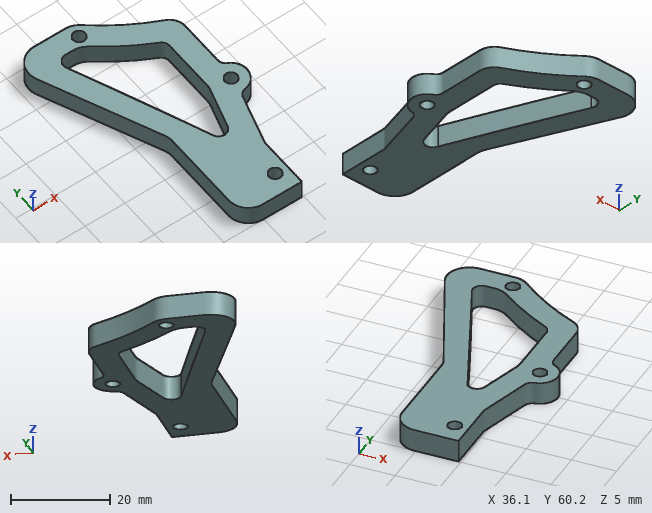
import cadquery as cq

THICKNESS = 5.0
HEIGHT = 60.15
LEG_WIDTH = 14.75
LEG_OUTER_TOP = 25.1
LEG_INNER_TOP = 12.45
TOP_CORNER_X = -15.6
RIGHT_SIDE_X = 19.8

LARGE_RADIUS = 5.0
MEDIUM_RADIUS = 4.0
SMALL_RADIUS = 2.0

CURVE_CENTRE = (42.7, 105.75)
EDGE_CURVE_RADIUS = 61.3
WALL = 5.5
RIGHT_WALL = 5.6

LUG_CENTRE = (19.2, 29.95)
LUG_RADIUS = MEDIUM_RADIUS
NECK_SLOPE = 0.286

WINDOW_TOP = HEIGHT - WALL
WINDOW_TOP_LEFT = (-7.05, WINDOW_TOP)
WINDOW_TIP = (9.7, 15.1)
WINDOW_NECK_TOP = 30.6

HOLE_DIAMETER = 3.0
HOLE_CENTRES = [(0.95, 56.85), LUG_CENTRE, (11.7, 4.95)]

STRIP_TOP = 51.75
STRIP_BOTTOM = 20.45
STRIP_BULGE = 0.1


def curve_x(radius, y):
    """X of the concave curve, on its lower left side, at height y."""
    return CURVE_CENTRE[0] - (radius**2 - (CURVE_CENTRE[1] - y) ** 2) ** 0.5


def curve_y(radius, x):
    """Y of the concave curve, on its lower left side, at position x."""
    return CURVE_CENTRE[1] - (radius**2 - (CURVE_CENTRE[0] - x) ** 2) ** 0.5


def round_corner(body, corner, radius):
    """Round the upright edge that stands nearest to a corner point."""
    edge = cq.selectors.NearestToPointSelector((*corner, THICKNESS / 2))
    return body.edges("|Z").edges(edge).fillet(radius)


def curved_frame(left_points, right_points, top_y, right_x, radius):
    """Prism whose top edge drops to its right side along the concave curve."""
    start = (curve_x(radius, top_y), top_y)
    end = (right_x, curve_y(radius, right_x))
    middle_x = (start[0] + end[0]) / 2
    middle = (middle_x, curve_y(radius, middle_x))
    outline = cq.Workplane("XY").polyline([*left_points, start])
    outline = outline.threePointArc(middle, end)
    for point in right_points:
        outline = outline.lineTo(*point)
    return outline.close().extrude(THICKNESS), start, end


def make_blank():
    neck_top_y = LEG_INNER_TOP + (RIGHT_SIDE_X - LEG_WIDTH) / NECK_SLOPE
    bottom_left = (0, 0)
    slope_foot = (0, LEG_OUTER_TOP)
    top_left = (TOP_CORNER_X, HEIGHT)
    blank, top_right, shoulder = curved_frame(
        [bottom_left, slope_foot, top_left],
        [(RIGHT_SIDE_X, neck_top_y), (LEG_WIDTH, LEG_INNER_TOP), (LEG_WIDTH, 0)],
        HEIGHT,
        RIGHT_SIDE_X,
        EDGE_CURVE_RADIUS,
    )
    lug = cq.Workplane("XY").center(*LUG_CENTRE).circle(LUG_RADIUS).extrude(THICKNESS)
    blank = blank.union(lug)
    for corner in (bottom_left, slope_foot, top_left, top_right):
        blank = round_corner(blank, corner, LARGE_RADIUS)
    blank = round_corner(blank, shoulder, MEDIUM_RADIUS)
    lug_x, lug_y = LUG_CENTRE
    for joint in ((lug_x, lug_y + LUG_RADIUS), (lug_x, lug_y - LUG_RADIUS)):
        blank = round_corner(blank, joint, SMALL_RADIUS)
    return blank


def make_window():
    side_x = RIGHT_SIDE_X - RIGHT_WALL
    kink = (side_x, WINDOW_NECK_TOP)
    window, top_right, shoulder = curved_frame(
        [WINDOW_TIP, WINDOW_TOP_LEFT],
        [kink],
        WINDOW_TOP,
        side_x,
        EDGE_CURVE_RADIUS + WALL,
    )
    for corner in (top_right, kink):
        window = round_corner(window, corner, LARGE_RADIUS)
    for corner in (WINDOW_TIP, WINDOW_TOP_LEFT, shoulder):
        window = round_corner(window, corner, SMALL_RADIUS)
    return window


def make_bracket():
    holes = cq.Workplane("XY").pushPoints(HOLE_CENTRES).circle(HOLE_DIAMETER / 2).extrude(THICKNESS)
    return make_blank().cut(make_window()).cut(holes)


def window_left_side(y):
    """Point on the window's straight left side at height y."""
    run = (WINDOW_TIP[0] - WINDOW_TOP_LEFT[0]) / (WINDOW_TIP[1] - WINDOW_TOP_LEFT[1])
    return (WINDOW_TIP[0] + run * (y - WINDOW_TIP[1]), y)


def make_strip():
    outline = cq.Workplane("XY").moveTo(*window_left_side(STRIP_BOTTOM))
    outline = outline.sagittaArc(window_left_side(STRIP_TOP), -STRIP_BULGE)
    return outline.close().extrude(THICKNESS)


bracket = make_bracket()
strip = make_strip()
result = cq.Compound.makeCompound([bracket.val(), strip.val()])